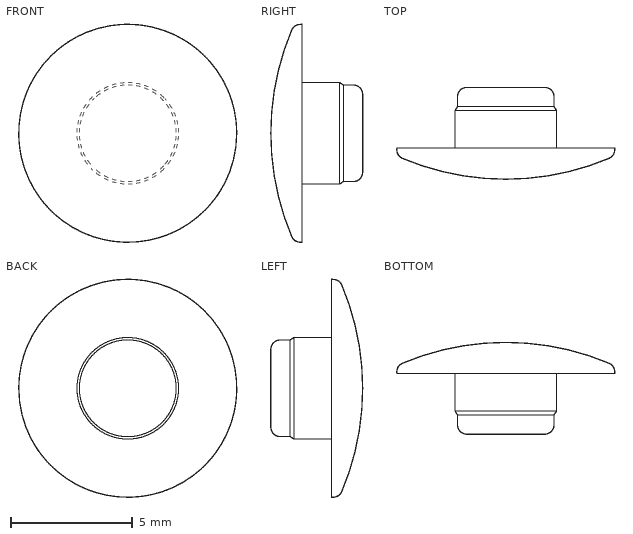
import cadquery as cq
import math

head_radius = 4.5
head_height = 1.3
dome_radius = 10.98
rim_fillet = 0.4

stem_length = 2.5
stem_radius = 2.1
shoulder_length = 1.7
shoulder_chamfer = 0.15
tip_radius = 2.0
tip_fillet = 0.4

dome_sag = dome_radius - math.sqrt(dome_radius**2 - head_radius**2)
rim_height = head_height - dome_sag

mid_angle = math.asin(head_radius / dome_radius) / 2
dome_mid = (
    dome_radius * math.sin(mid_angle),
    -head_height + dome_radius * (1 - math.cos(mid_angle)),
)

profile = (
    cq.Workplane("XY")
    .moveTo(0, -head_height)
    .threePointArc(dome_mid, (head_radius, -rim_height))
    .lineTo(head_radius, 0)
    .lineTo(stem_radius, 0)
    .lineTo(stem_radius, shoulder_length - shoulder_chamfer)
    .lineTo(tip_radius, shoulder_length)
    .lineTo(tip_radius, stem_length)
    .lineTo(0, stem_length)
    .close()
)
body = profile.revolve(360, (0, 0, 0), (0, 1, 0))

body = body.faces(">Y").edges().fillet(tip_fillet)
rim_edge = cq.selectors.NearestToPointSelector((0, -rim_height, 0))
result = body.edges("%CIRCLE").edges(rim_edge).fillet(rim_fillet)